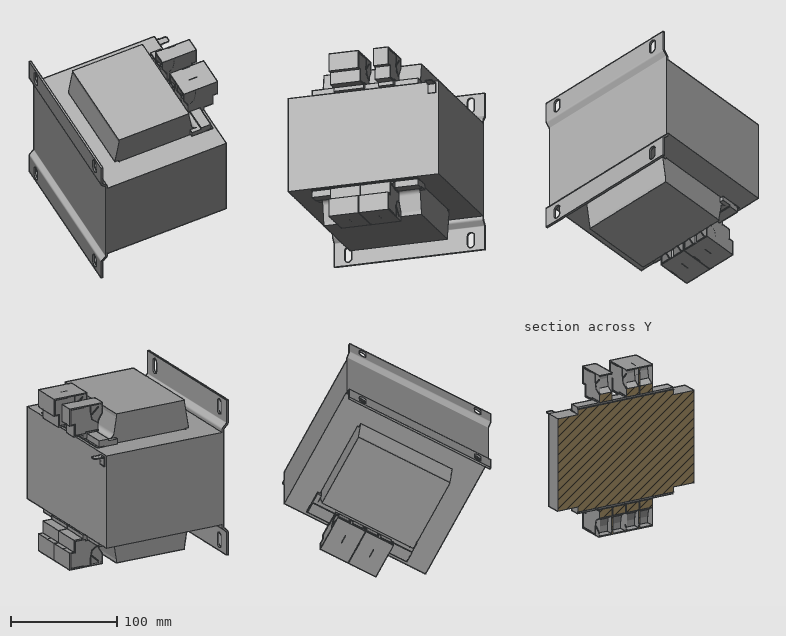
import cadquery as cq
import math


sheet = 2.0
plate_width = 150.0
plate_height = 155.7
joggle = 4.9
joggle_start = 49.2
bend_inner_radius = 1.1
slot_width = 7.0
slot_length = 15.0
slot_x = 61.0
slot_z = 67.0

core_front = joggle + sheet
core_depth = 125.0
core_back = core_front + core_depth
core_height = 92.8
core_top = core_height / 2
core_limb = 25.0
core_window_back = core_back - core_limb

coil_width = 97.1
coil_top = 75.0
coil_front = 32.0
coil_back = 105.9
coil_band = 3.4
coil_spread = 4.2
coil_lip_back = 113.7

frame_width = 105.4
frame_ledge_top = 51.5
frame_rail_top = 53.3
frame_rail_front = 116.5
frame_rail_back = 127.0
frame_foot_width = 105.9
frame_foot_front = 121.9
frame_foot_back = 129.0
frame_foot_thickness = 0.6

terminal_row_width = 59.1
pair_gap = 0.5
terminal_width = (terminal_row_width - pair_gap) / 4
terminal_top = 81.0
terminal_front = 110.0
terminal_waist = 114.5
terminal_back = 145.5
terminal_step = 63.8
terminal_heel = 140.9
terminal_bottom = 51.8
terminal_hook_back = 131.3
terminal_hook_bottom = 48.2
terminal_wall = 1.1
rim = 1.5
panel_recess = 0.3
blade_start = (114.5, 77.5)
blade_end = (121.1, 71.4)
blade_thickness = 0.8

tab_x = -68.3
tab_sheet = 0.8
tab_top = 44.4
tab_leg_bottom = 34.8
tab_shoulder_width = 7.8
tab_blade_width = 6.6
tab_tip_width = 4.5
tab_shoulder_y = 134.5
tab_taper_y = 141.5
tab_tip_y = 142.6


def prism(points, x_start, length):
    """Extrude a closed (Y, Z) outline along +X from x_start."""
    return cq.Workplane("YZ", origin=(x_start, 0, 0)).polyline(points).close().extrude(length)


def centred_prism(points, width):
    return prism(points, -width / 2, width)


def block(width, y_range, z_range):
    """Box centred on X that fills the given Y and Z ranges."""
    y0, y1 = y_range
    z0, z1 = z_range
    box = cq.Workplane("XY").box(width, y1 - y0, z1 - z0, centered=(True, False, False))
    return box.translate((0, y0, z0))


def both_ends(solid):
    """The solid together with its mirror image below the XY plane."""
    return solid.union(solid.mirror("XY"))


def make_plate():
    half_height = plate_height / 2
    flange_bend = joggle_start + joggle
    back_shift = sheet * math.tan(math.pi / 8)
    flange_front = (0, flange_bend)
    flange_back = (sheet, flange_bend + back_shift)
    middle_front = (joggle, joggle_start)
    middle_back = (joggle + sheet, joggle_start + back_shift)
    upper_half = centred_prism(
        [
            (joggle, 0),
            middle_front,
            flange_front,
            (0, half_height),
            (sheet, half_height),
            flange_back,
            middle_back,
            (joggle + sheet, 0),
        ],
        plate_width,
    )
    bend_outer_radius = bend_inner_radius + sheet
    for (y, z), radius in (
        (flange_front, bend_outer_radius),
        (flange_back, bend_inner_radius),
        (middle_front, bend_inner_radius),
        (middle_back, bend_outer_radius),
    ):
        bend_edge = cq.selectors.NearestToPointSelector((0, y, z))
        upper_half = upper_half.edges("|X").edges(bend_edge).fillet(radius)
    slots = (
        cq.Workplane("XZ")
        .pushPoints([(-slot_x, slot_z), (slot_x, slot_z)])
        .slot2D(slot_length, slot_width, 90)
        .extrude(-sheet)
    )
    return both_ends(upper_half.cut(slots))


def make_core():
    z_range = (-core_top, core_top)
    core = block(plate_width, (core_front, core_back), z_range)
    window_width = plate_width - 2 * core_limb
    return core.cut(block(window_width, (core_front + core_limb, core_window_back), z_range))


def make_coil():
    """Winding, straight through the core window and tapered above and below it."""
    slope_start = coil_top - coil_band
    run = coil_spread / (slope_start - core_top)
    lip_corner = coil_back + run * (slope_start - frame_ledge_top)
    tangent = coil_lip_back - lip_corner
    slope_angle = math.atan(run)
    turn = math.pi / 2 - slope_angle
    radius = tangent / math.tan(turn / 2)
    centre = (coil_lip_back, frame_ledge_top + radius)
    round_start = (
        lip_corner - tangent * math.sin(slope_angle),
        frame_ledge_top + tangent * math.cos(slope_angle),
    )
    round_middle = (
        centre[0] - radius * math.sin(turn / 2),
        centre[1] - radius * math.cos(turn / 2),
    )
    head = (
        cq.Workplane("YZ", origin=(-coil_width / 2, 0, 0))
        .moveTo(coil_front - coil_spread, core_top)
        .lineTo(coil_front, slope_start)
        .lineTo(coil_front, coil_top)
        .lineTo(coil_back, coil_top)
        .lineTo(coil_back, slope_start)
        .lineTo(*round_start)
        .threePointArc(round_middle, (coil_lip_back, frame_ledge_top))
        .lineTo(coil_lip_back, core_top)
        .close()
        .extrude(coil_width)
    )
    inside = block(coil_width, (core_front + core_limb, core_window_back), (-core_top, core_top))
    return both_ends(head).union(inside)


def make_frame():
    ledge = block(frame_width, (core_window_back, frame_rail_front), (core_top, frame_ledge_top))
    rail = block(frame_width, (frame_rail_front, frame_rail_back), (core_top, frame_rail_top))
    foot = block(
        frame_foot_width,
        (frame_foot_front, frame_foot_back),
        (core_top, core_top + frame_foot_thickness),
    )
    return both_ends(ledge.union(rail).union(foot))


def make_terminal():
    """One upper terminal with its -X side on X = 0."""
    lip_bottom = 70.9
    waist_top = 63.6
    body = prism(
        [
            (terminal_front, terminal_top),
            (terminal_front, lip_bottom),
            (terminal_waist, waist_top),
            (terminal_waist, frame_rail_top),
            (frame_rail_back, frame_rail_top),
            (frame_rail_back, terminal_hook_bottom),
            (terminal_hook_back, terminal_hook_bottom),
            (terminal_hook_back, terminal_bottom),
            (terminal_heel, terminal_bottom),
            (terminal_heel, terminal_step),
            (terminal_back, terminal_step),
            (terminal_back, terminal_top),
        ],
        0,
        terminal_width,
    )

    entry_upper = (122.7, 73.5)
    entry_lower = (121.1, 65.7)
    entry_sill = (terminal_waist, 61.4)
    pocket = prism(
        [
            (terminal_front, terminal_top - rim),
            (entry_upper[0], terminal_top - rim),
            entry_upper,
            entry_lower,
            entry_sill,
            (terminal_front, entry_sill[1]),
        ],
        terminal_wall,
        terminal_width - 2 * terminal_wall,
    )

    thin_rim = 0.8
    top_rim_step = 130.8
    bottom_rim_step = 128.2
    panel = prism(
        [
            (terminal_back - rim, terminal_top - rim),
            (top_rim_step, terminal_top - rim),
            (top_rim_step, terminal_top - thin_rim),
            (entry_upper[0], terminal_top - thin_rim),
            entry_upper,
            entry_lower,
            entry_sill,
            (terminal_waist, frame_rail_top + rim),
            (bottom_rim_step, frame_rail_top + rim),
            (bottom_rim_step, terminal_bottom + rim),
            (terminal_heel - rim, terminal_bottom + rim),
            (terminal_heel - rim, terminal_step + thin_rim),
            (terminal_back - rim, terminal_step + thin_rim),
        ],
        0,
        panel_recess,
    )

    dy = blade_end[0] - blade_start[0]
    dz = blade_end[1] - blade_start[1]
    blade = (
        cq.Workplane("YZ")
        .center((blade_start[0] + blade_end[0]) / 2, (blade_start[1] + blade_end[1]) / 2)
        .transformed(rotate=(0, 0, math.degrees(math.atan2(dz, dy))))
        .rect(math.hypot(dy, dz), blade_thickness)
        .extrude(panel_recess)
    )
    return body.cut(pocket).cut(panel).cut(blade)


def make_terminals():
    """Three terminals above, with one place left empty, and four below."""
    near = pair_gap / 2
    places = [-near - 2 * terminal_width, -near - terminal_width, near, near + terminal_width]
    empty_upper_place = 1
    upper = make_terminal()
    lower = upper.mirror("XY")
    terminals = cq.Workplane("XY")
    for index, x in enumerate(places):
        terminals = terminals.add(lower.translate((x, 0, 0)))
        if index != empty_upper_place:
            terminals = terminals.add(upper.translate((x, 0, 0)))
    return terminals.combine()


def make_earth_tab():
    """L-shaped tab: a leg on the back of the core and a tapered blade."""
    half_outline = [
        (tab_shoulder_width / 2, core_back),
        (tab_shoulder_width / 2, tab_shoulder_y),
        (tab_blade_width / 2, tab_shoulder_y),
        (tab_blade_width / 2, tab_taper_y),
        (tab_tip_width / 2, tab_tip_y),
    ]
    outline = half_outline + [(-x, y) for x, y in reversed(half_outline)]
    blade_plane = cq.Workplane("XY", origin=(0, 0, tab_top - tab_sheet))
    blade = blade_plane.polyline(outline).close().extrude(tab_sheet)
    leg = block(tab_shoulder_width, (core_back, core_back + tab_sheet), (tab_leg_bottom, tab_top))
    return blade.union(leg).translate((tab_x, 0, 0))


result = (
    make_core()
    .union(make_plate())
    .union(make_coil())
    .union(make_frame())
    .union(make_terminals())
    .union(make_earth_tab())
)